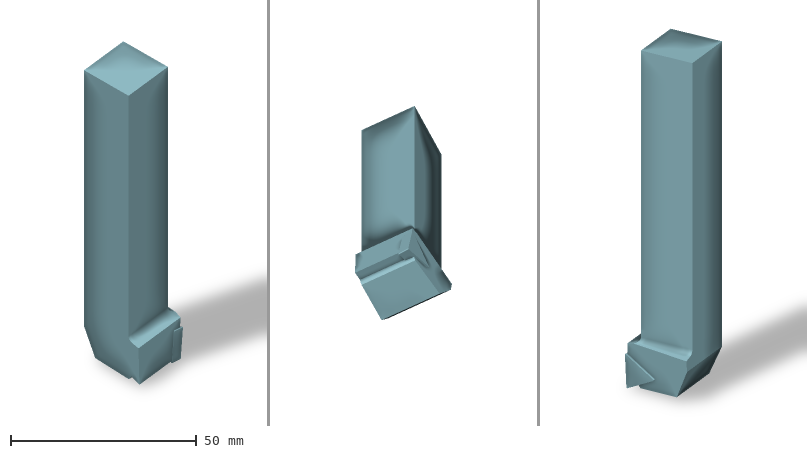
import cadquery as cq
import math


shank_side = 16.0
total_height = 101.35
shoulder_fillet = 1.6
shoulder_slope = 15.0
shoulder_start_z = 14.8
head_top_x = 19.55
head_bottom_x = 19.9
chamfer_top_z = 10.6
heel_x = 4.0
heel_z = 1.6
underside_end_z = 0.95

notch_side = (16.5, 1.4)
notch_top = (16.95, 2.4)
nose_support_z = 1.15

rake_angle = 6.0
head_max_y = 19.22

insert_inscribed_circle = 6.35
insert_thickness = 3.18
insert_nose_radius = 0.2
insert_lean = 1.0
insert_reach_x = 20.36
insert_rake_y = 16.25

rake_slope = math.tan(math.radians(rake_angle))
rake_normal = cq.Vector(rake_slope, 1, -rake_slope).normalized()


def shoulder_end_z(reach):
    """Height of a shoulder at the given distance from the X = 0 or Y = 0 face."""
    return shoulder_start_z - (reach - shank_side) * math.tan(math.radians(shoulder_slope))


def front_prism(depth):
    """Holder outline in XZ, extruded along +Y."""
    outline = [
        (0, total_height),
        (shank_side, total_height),
        (shank_side, shoulder_start_z),
        (head_top_x, shoulder_end_z(head_top_x)),
        (head_bottom_x, nose_support_z),
        notch_top,
        notch_side,
        (shank_side, underside_end_z),
        (heel_x, heel_z),
        (0, chamfer_top_z),
    ]
    prism = cq.Workplane("XZ").polyline(outline).close().extrude(-depth)
    root = cq.selectors.NearestToPointSelector((shank_side, depth / 2, shoulder_start_z))
    return prism.edges(root).fillet(shoulder_fillet)


def side_prism(depth):
    """Holder outline in YZ, extruded along +X."""
    outline = [
        (0, total_height),
        (shank_side, total_height),
        (shank_side, shoulder_start_z),
        (head_max_y, shoulder_end_z(head_max_y)),
        (head_max_y, 0),
        (0, 0),
    ]
    prism = cq.Workplane("YZ").polyline(outline).close().extrude(depth)
    root = cq.selectors.NearestToPointSelector((depth / 2, shank_side, shoulder_start_z))
    return prism.edges(root).fillet(shoulder_fillet)


def rake_cutter():
    """Block whose lower face is the rake face of the head."""
    corner = cq.Vector(0, head_max_y, shoulder_end_z(head_max_y))
    plane = cq.Plane(origin=corner, xDir=(1, -rake_slope, 0), normal=rake_normal)
    return cq.Workplane(plane).rect(4 * shank_side, 4 * shank_side).extrude(shank_side)


def make_insert():
    """Rounded triangular plate lying parallel to the rake face, cutting tip at the lowest point."""
    side = insert_inscribed_circle * math.sqrt(3)
    lean = math.radians(insert_lean)
    edge_x = -math.sin(lean)
    edge_z = math.cos(lean)
    edge = cq.Vector(edge_x, rake_slope * (edge_z - edge_x), edge_z).normalized()
    plane = cq.Plane(origin=(0, insert_rake_y, 0), xDir=edge, normal=rake_normal)
    third_x = side / 2
    third_y = -side * math.sqrt(3) / 2
    plate = (
        cq.Workplane(plane)
        .polyline([(0, 0), (side, 0), (third_x, third_y)])
        .close()
        .extrude(-insert_thickness)
    )
    corners = cq.selectors.ParallelDirSelector(rake_normal)
    plate = plate.edges(corners).fillet(insert_nose_radius)
    box = plate.val().BoundingBox()
    return plate.translate((insert_reach_x - box.xmax, 0, -box.zmin))


insert = make_insert()
holder = front_prism(head_max_y).intersect(side_prism(insert_reach_x))
holder = holder.cut(rake_cutter()).cut(insert)

result = cq.Compound.makeCompound([holder.solids().val(), insert.solids().val()])